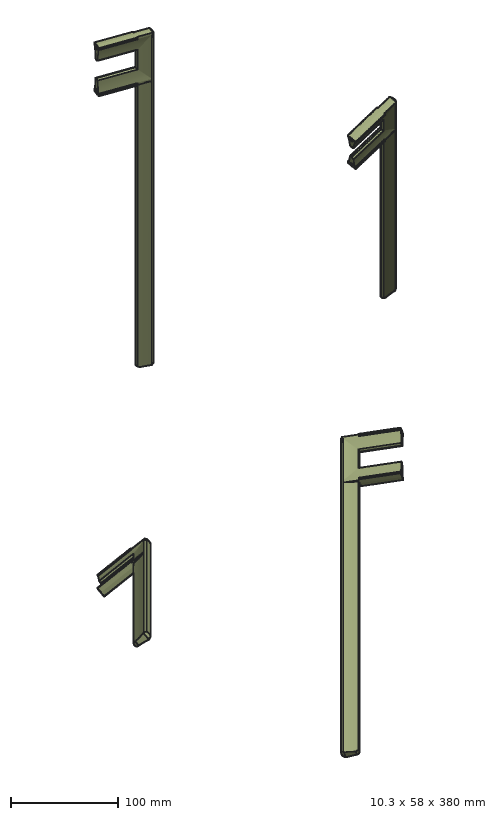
import cadquery as cq

length = 380.0
reach = 58.0
flange_width = 10.3

bar_depth = 18.0
bar_width = 8.5
inner_width = 5.0
shoulder = 3.0
rear_width = 6.0
inner_bevel = 1.0
taper_sag = 0.5

flange_thickness = 2.5
ridge_drop = 0.5
prong_pitch = 56.0
bore_diameter = 3.0
bore_inset = 3.8
bore_depth = 11.5

foot_bevel_height = 2.0
foot_bevel_depth = 3.5
top_bevel = 1.5

rear = reach / 2
front = -reach / 2
post_top = length - ridge_drop
lower_face = length - prong_pitch
half_bar = bar_width / 2
half_inner = inner_width / 2
flank_middle = ((half_bar + half_inner) / 2 - taper_sag, (shoulder + bar_depth) / 2)


def close_bar(profile):
    """Complete a section from its right shoulder, around the inner edge, to its left shoulder."""
    middle_x, middle_depth = flank_middle
    inner_start = bar_depth - inner_bevel
    inner_flat = half_inner - inner_bevel
    return (
        profile.threePointArc((middle_x, middle_depth), (half_inner, inner_start))
        .lineTo(inner_flat, bar_depth - ridge_drop)
        .lineTo(0, bar_depth)
        .lineTo(-inner_flat, bar_depth - ridge_drop)
        .lineTo(-half_inner, inner_start)
        .threePointArc((-middle_x, middle_depth), (-half_bar, shoulder))
        .close()
    )


def make_post():
    """Vertical bar with bevelled rear corners, a bevelled foot and a bevelled top."""
    plane = cq.Plane(origin=(0, rear, 0), xDir=(-1, 0, 0), normal=(0, 0, 1))
    half_rear = rear_width / 2
    outline = cq.Workplane(plane).moveTo(-half_bar, shoulder).lineTo(-half_rear, ridge_drop)
    outline = outline.lineTo(0, 0).lineTo(half_rear, ridge_drop).lineTo(half_bar, shoulder)
    bar = close_bar(outline).extrude(length)
    side = (
        cq.Workplane("YZ")
        .moveTo(rear - foot_bevel_depth, 0)
        .lineTo(rear, foot_bevel_height)
        .lineTo(rear, post_top - top_bevel)
        .lineTo(rear - top_bevel, post_top)
        .lineTo(rear - bar_depth, post_top)
        .lineTo(rear - bar_depth, foot_bevel_height)
        .lineTo(rear - bar_depth + foot_bevel_depth, 0)
        .close()
        .extrude(bar_width, both=True)
    )
    return bar.intersect(side)


def make_prong(outer_z, x_direction, prong_length):
    """Tapered bar with a flange on its outer face; x_direction sets which way it hangs."""
    plane = cq.Plane(origin=(0, front, outer_z), xDir=(x_direction, 0, 0), normal=(0, 1, 0))
    outline = cq.Workplane(plane).moveTo(-half_bar, shoulder).lineTo(-half_bar, ridge_drop)
    outline = outline.lineTo(0, 0).lineTo(half_bar, ridge_drop).lineTo(half_bar, shoulder)
    bar = close_bar(outline).extrude(prong_length)
    half_flange = flange_width / 2
    flange = (
        cq.Workplane(plane)
        .moveTo(half_flange, ridge_drop)
        .lineTo(half_flange, flange_thickness)
        .lineTo(-half_flange, flange_thickness)
        .lineTo(-half_flange, ridge_drop)
        .close()
        .extrude(reach - bar_depth)
    )
    bore = cq.Workplane(plane).center(0, bore_inset).circle(bore_diameter / 2).extrude(bore_depth)
    return bar.union(flange).cut(bore)


upper_prong = make_prong(length, 1, reach - top_bevel)
lower_prong = make_prong(lower_face, -1, reach - shoulder)
result = make_post().union(upper_prong).union(lower_prong)